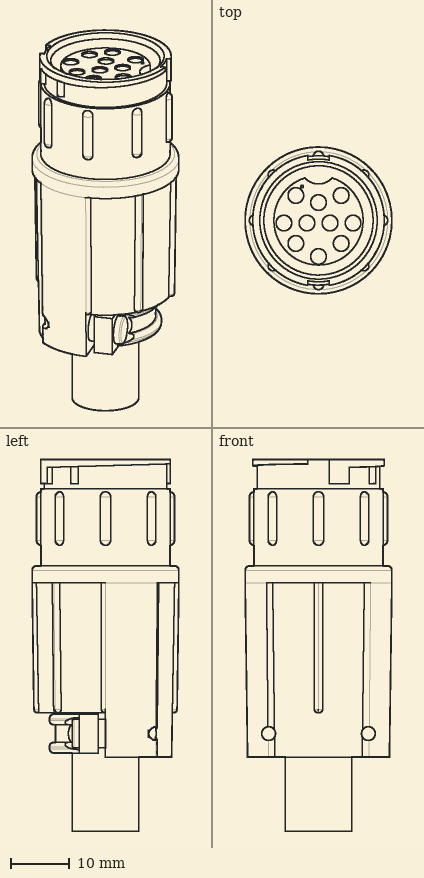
import cadquery as cq

TOTAL_LENGTH = 63.5
GRIP_TOP = 58.5
BODY_TOP = 45.35
COLLAR_BOTTOM = 42.4
UPPER_BODY_BOTTOM = 20.25
SHELL_BOTTOM = 12.7

COLLAR_RADIUS = 25.1 / 2
COLLAR_ROUNDING = 0.75
SHELL_BOTTOM_RADIUS = 12.1
BODY_TOP_RADIUS = 11.8
BODY_BOTTOM_RADIUS = 11.3
GRIP_RADIUS = 11.05
NECK_RADIUS = 10.5
CABLE_RADIUS = 5.7

RIM_RADIUS = 11.25
RIM_DEPTH_MIN = 0.75
RIM_DEPTH_MAX = 1.4
NOTCH_WIDTH = 3.6
STOP_DEPTH = 4.1
STOP_END_X = 5.2
LUG_ANGLE = 30.0
LUG_RADIUS = 0.7

SOCKET_MOUTH_RADIUS = 10.05
SOCKET_RADIUS = 9.35
SOCKET_CONE_DEPTH = 0.8
SOCKET_FLOOR = 55.9
INSERT_RADIUS = 7.6
INSERT_TOP = 61.7
KEYWAY_RADIUS = 3.2
KEYWAY_CENTER_Y = 9.4
CONTACT_RADIUS = 1.35
CONTACT_DEPTH = 0.3
CONTACT_POINTS = [
    (-3.9, 4.25), (3.9, 4.25),
    (0, 3.05),
    (-5.9, -0.45), (-2.0, -0.45), (2.0, -0.45), (5.9, -0.45),
    (-3.9, -3.95), (3.9, -3.95),
    (0, -6.15),
]
INDEX_DIMPLE_POINT = (-2.8, 5.8)
INDEX_DIMPLE_RADIUS = 0.22

RIB_PITCH_ANGLE = 45
GRIP_RIB_RADIUS = 0.9
GRIP_RIB_REACH = 11.8
GRIP_RIB_TOP = 58.0
GRIP_RIB_BOTTOM = 48.8
BODY_RIB_RADIUS = 1.45 / 2
BODY_RIB_ROUNDING = 0.65

CLAMP_CENTER_Z = 16.7
CLAMP_HEIGHT = 6.65
EAR_REACH = 11.6
EAR_BOTTOM_Y = 1.3
EAR_TOP_Y = 4.5
FLANGE_RADIUS = 9.6
FLANGE_HEIGHT = 1.85
FLANGE_ROUNDING = 0.75
SADDLE_RADIUS = 8.6
SCREW_X = 8.5
SCREW_HEAD_RADIUS = 2.4
SCREW_HEAD_TOP_Y = 5.7
SCREW_HEAD_ROUNDING = 0.25
SPOTFACE_RADIUS = 2.7
SCREW_HOLE_RADIUS = 2.35 / 2
SCREW_HOLE_FLOOR_Y = -7.3


def cylinder(radius, bottom, top):
    return cq.Workplane("XY").workplane(offset=bottom).circle(radius).extrude(top - bottom)


def block(x_range, y_range, z_range):
    """Axis-aligned box given by its limits along each axis."""
    size = [high - low for low, high in (x_range, y_range, z_range)]
    return cq.Workplane("XY").box(*size, centered=False).translate((x_range[0], y_range[0], z_range[0]))


def y_cylinder(radius, x, z, y_start, y_end):
    """Cylinder whose axis runs along Y."""
    plane = cq.Plane(origin=(x, y_start, z), xDir=(1, 0, 0), normal=(0, 1, 0))
    return cq.Workplane(plane).circle(radius).extrude(y_end - y_start)


def half_turn(shape):
    return shape.rotate((0, 0, 0), (0, 0, 1), 180)


def body_radius(z):
    """Radius of the tapered body between the ribs."""
    share = (z - SHELL_BOTTOM) / (COLLAR_BOTTOM - SHELL_BOTTOM)
    return BODY_BOTTOM_RADIUS + share * (BODY_TOP_RADIUS - BODY_BOTTOM_RADIUS)


def reach_radius(z):
    """Radius reached by the body ribs and the raised panels."""
    share = (z - SHELL_BOTTOM) / (COLLAR_BOTTOM - SHELL_BOTTOM)
    return SHELL_BOTTOM_RADIUS + share * (COLLAR_RADIUS - SHELL_BOTTOM_RADIUS)


def tapered_sector(radius_at, start_angle, sweep_angle, bottom):
    """Sector of a tapered round section, from the given bottom up to the collar."""
    sector = (
        cq.Workplane("XZ")
        .moveTo(0, bottom)
        .lineTo(radius_at(bottom), bottom)
        .lineTo(radius_at(COLLAR_BOTTOM), COLLAR_BOTTOM)
        .lineTo(0, COLLAR_BOTTOM)
        .close()
        .revolve(sweep_angle, (0, 0, 0), (0, 1, 0))
    )
    return sector.rotate((0, 0, 0), (0, 0, 1), start_angle)


def make_body():
    """Collar, tapered body, and the half shell that continues below it at -Y."""
    collar = cylinder(COLLAR_RADIUS, COLLAR_BOTTOM, BODY_TOP).faces(">Z").edges().fillet(COLLAR_ROUNDING)
    body = collar.union(tapered_sector(body_radius, 0, 360, UPPER_BODY_BOTTOM))
    body = body.union(tapered_sector(body_radius, 180, 180, SHELL_BOTTOM))
    for start_angle in (180, 360 - RIB_PITCH_ANGLE):
        body = body.union(tapered_sector(reach_radius, start_angle, RIB_PITCH_ANGLE, SHELL_BOTTOM))
    return body


def body_rib(angle, bottom, round_end):
    """Slightly leaning round rib that follows the outer taper of the body."""
    low_x = reach_radius(bottom) - BODY_RIB_RADIUS
    high_x = reach_radius(COLLAR_BOTTOM) - BODY_RIB_RADIUS
    rib = (
        cq.Workplane("XY", origin=(low_x, 0, bottom))
        .circle(BODY_RIB_RADIUS)
        .workplane(offset=COLLAR_BOTTOM - bottom)
        .center(high_x - low_x, 0)
        .circle(BODY_RIB_RADIUS)
        .loft()
    )
    if round_end:
        rib = rib.faces("<Z").edges().fillet(BODY_RIB_ROUNDING)
    return rib.rotate((0, 0, 0), (0, 0, 1), angle)


def add_body_ribs(body):
    shell_edge_angles = (270 - RIB_PITCH_ANGLE, 270 + RIB_PITCH_ANGLE)
    for angle in range(0, 360, RIB_PITCH_ANGLE):
        on_shell_edge = angle in shell_edge_angles
        bottom = SHELL_BOTTOM if on_shell_edge else UPPER_BODY_BOTTOM
        body = body.union(body_rib(angle, bottom, not on_shell_edge))
    return body


def make_grip():
    """Coupling ring with round-ended ribs."""
    grip = cylinder(GRIP_RADIUS, BODY_TOP, GRIP_TOP)
    center_x = GRIP_RIB_REACH - GRIP_RIB_RADIUS
    low = GRIP_RIB_BOTTOM + GRIP_RIB_RADIUS
    high = GRIP_RIB_TOP - GRIP_RIB_RADIUS
    rib = cylinder(GRIP_RIB_RADIUS, low, high).translate((center_x, 0, 0))
    for z in (low, high):
        rib = rib.union(cq.Workplane("XY", origin=(center_x, 0, z)).sphere(GRIP_RIB_RADIUS))
    for angle in range(0, 360, RIB_PITCH_ANGLE):
        grip = grip.union(rib.rotate((0, 0, 0), (0, 0, 1), angle))
    return grip


def make_rim_half():
    """The -X half of the bayonet rim: sloping flange, stop block and small round lug."""
    sloping_half = (
        cq.Workplane("YZ")
        .polyline([
            (-RIM_RADIUS, TOTAL_LENGTH),
            (-RIM_RADIUS, TOTAL_LENGTH - RIM_DEPTH_MIN),
            (RIM_RADIUS, TOTAL_LENGTH - RIM_DEPTH_MAX),
            (RIM_RADIUS, TOTAL_LENGTH),
        ])
        .close()
        .extrude(-RIM_RADIUS)
    )
    stop_bottom = TOTAL_LENGTH - STOP_DEPTH
    stop = block((-STOP_END_X, 0), (0, RIM_RADIUS), (stop_bottom, TOTAL_LENGTH))
    lug = cylinder(LUG_RADIUS, stop_bottom, TOTAL_LENGTH - RIM_DEPTH_MIN).translate((-NECK_RADIUS, 0, 0))
    lug = lug.rotate((0, 0, 0), (0, 0, 1), -LUG_ANGLE)
    disc = cylinder(RIM_RADIUS, GRIP_TOP, TOTAL_LENGTH)
    return disc.intersect(sloping_half.union(stop).union(lug))


def make_neck():
    """Neck below the mouth with its two-start bayonet rim, notched at +Y and -Y."""
    rim_half = make_rim_half()
    notch = block(
        (-NOTCH_WIDTH / 2, NOTCH_WIDTH / 2),
        (-RIM_RADIUS, RIM_RADIUS),
        (GRIP_TOP, TOTAL_LENGTH),
    )
    rim = rim_half.union(half_turn(rim_half)).cut(notch)
    return cylinder(NECK_RADIUS, GRIP_TOP, TOTAL_LENGTH).union(rim)


def make_socket():
    """Void of the socket: conical mouth over a straight bore."""
    mouth = (
        cq.Workplane("XY")
        .workplane(offset=TOTAL_LENGTH)
        .circle(SOCKET_MOUTH_RADIUS)
        .workplane(offset=-SOCKET_CONE_DEPTH)
        .circle(SOCKET_RADIUS)
        .loft()
    )
    return mouth.union(cylinder(SOCKET_RADIUS, SOCKET_FLOOR, TOTAL_LENGTH - SOCKET_CONE_DEPTH))


def make_insert():
    """Contact insert standing in the socket, with keyway, contacts and index dimple."""
    insert = cylinder(INSERT_RADIUS, SOCKET_FLOOR, INSERT_TOP)
    insert = insert.cut(cylinder(KEYWAY_RADIUS, SOCKET_FLOOR, INSERT_TOP).translate((0, KEYWAY_CENTER_Y, 0)))
    top = cq.Workplane("XY").workplane(offset=INSERT_TOP)
    insert = insert.cut(top.pushPoints(CONTACT_POINTS).circle(CONTACT_RADIUS).extrude(-CONTACT_DEPTH))
    dimple = top.center(*INDEX_DIMPLE_POINT).circle(INDEX_DIMPLE_RADIUS).extrude(-CONTACT_DEPTH)
    return insert.cut(dimple)


def make_clamp():
    """Saddle clamp over the cable on the +Y side, with two flanges and two screws."""
    low = CLAMP_CENTER_Z - CLAMP_HEIGHT / 2
    high = CLAMP_CENTER_Z + CLAMP_HEIGHT / 2
    saddle = cylinder(SADDLE_RADIUS, low, high)
    for bottom in (low, high - FLANGE_HEIGHT):
        flange = cylinder(FLANGE_RADIUS, bottom, bottom + FLANGE_HEIGHT).edges().fillet(FLANGE_ROUNDING)
        saddle = saddle.union(flange)
    saddle = saddle.intersect(
        block((-FLANGE_RADIUS, FLANGE_RADIUS), (EAR_BOTTOM_Y, FLANGE_RADIUS), (low, high))
    )
    clamp = saddle.union(block((-EAR_REACH, EAR_REACH), (EAR_BOTTOM_Y, EAR_TOP_Y), (low, high)))
    for x in (-SCREW_X, SCREW_X):
        spotface = y_cylinder(SPOTFACE_RADIUS, x, CLAMP_CENTER_Z, EAR_TOP_Y, FLANGE_RADIUS)
        screw = y_cylinder(SCREW_HEAD_RADIUS, x, CLAMP_CENTER_Z, 0, SCREW_HEAD_TOP_Y)
        screw = screw.faces(">Y").edges().fillet(SCREW_HEAD_ROUNDING)
        clamp = clamp.cut(spotface).union(screw)
    return clamp


def cut_screw_holes(body):
    for x in (-SCREW_X, SCREW_X):
        body = body.cut(
            y_cylinder(SCREW_HOLE_RADIUS, x, CLAMP_CENTER_Z, -COLLAR_RADIUS, SCREW_HOLE_FLOOR_Y)
        )
    return body


connector = cut_screw_holes(add_body_ribs(make_body()))
connector = connector.union(make_grip())
connector = connector.union(make_neck())
connector = connector.cut(make_socket())
connector = connector.union(make_insert())
connector = connector.union(cylinder(CABLE_RADIUS, 0, UPPER_BODY_BOTTOM))
result = connector.union(make_clamp())